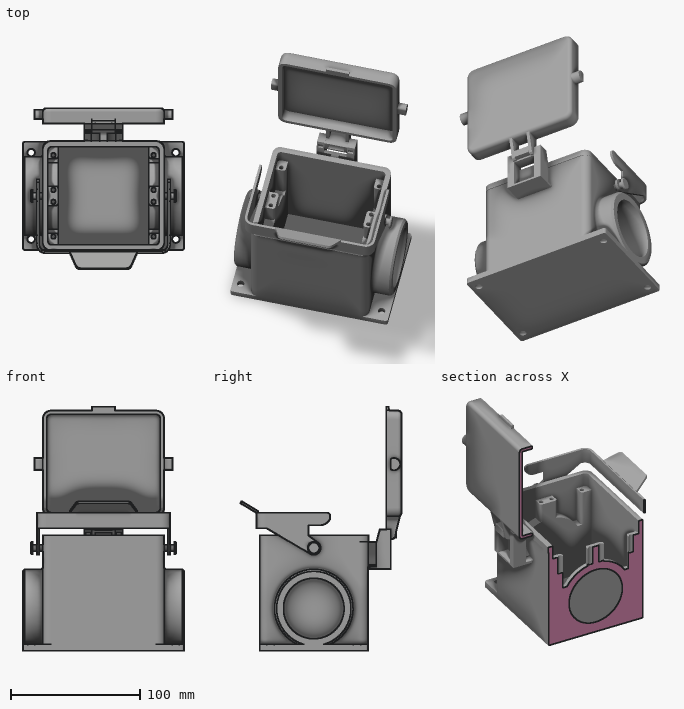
import cadquery as cq
import math

plate_length = 125.0
plate_width = 84.0
plate_thickness = 5.0
plate_corner_radius = 2.0
mount_hole_diameter = 5.6
mount_hole_x = 56.0
mount_hole_y = 33.5

body_length = 94.0
body_width = plate_width
body_corner_radius = 6.0
body_top = 89.5
lip_height = 5.0
lip_back_overhang = 0.5
cavity_length = 86.0
cavity_width = 76.0
cavity_corner_radius = 3.0

support_inner_x = 35.0
support_shelf_z = 49.0
post_top = 78.0
post_edge_radius = 2.0
center_post_width = 15.0
corner_post_inner_y = 28.9
screw_hole_x = 38.8
screw_hole_diameter = 3.6
screw_hole_depth = 15.0
corner_screw_y = 31.5
center_screw_y = 4.6

conduit_z = 32.7
conduit_radius = 30.4
conduit_flare = 1.4
conduit_chamfer = 1.6
conduit_bore_diameter = 47.0
conduit_bore_depth = 24.5

lever_half_width = 51.6
lever_sheet = 1.9
lever_front_y = -44.5
lever_top = 107.0
lever_bar_bottom = 94.7
lever_bend_radius = 7.0
lever_arm_corner_y = -36.5
jaw_y = -4.0
jaw_top = 97.0
jaw_bottom = 89.0
hook_tip_y = 12.7
hook_nose_z = 102.2
hook_top_y = 8.5
hook_lower_y = 4.5
pivot_z = 79.6
eye_radius = 5.3
pin_radius = 2.6
pin_end_x = 56.3
pin_head_radius = 4.8
pin_head_thickness = 1.6
pin_head_chamfer = 0.6

thumb_angle = 31.0
thumb_thickness = 1.9
thumb_root_half_width = 26.2
thumb_tip_half_width = 20.5
thumb_root_rise = 0.3
thumb_corner_radius = 4.0
part_front_y = -56.86

lid_length = body_length
lid_bottom = 104.0
lid_height = 82.0
lid_front_y = 56.0
lid_back_y = 68.0
lid_corner_radius = 6.5
lid_back_fillet = 3.0
lid_wall = 3.0
lid_floor = 3.0
lid_tab_half_width = 9.0
lid_tab_top = 189.0
lid_tab_thickness = 2.2
lid_tab_root_radius = 1.0
lid_pin_end_x = 53.5
lid_pin_y = 62.1
lid_pin_z = 144.5
lid_pin_radius = 4.75
lid_pin_flat_y = 59.4
lid_pin_edge_radius = 1.5

hinge_half_width = 15.0
hinge_back_y = 59.6
hinge_front_y = 48.4
hinge_top_front_y = 51.0
hinge_top = 94.0
hinge_slope_bottom = 84.2
hinge_bottom = 63.2
hinge_foot_front_y = 43.2
hinge_foot_thickness = 1.6
hinge_slot_half_width = 9.0
crossbar_top = 93.5
crossbar_bottom = 86.0
crossbar_window_half_width = 6.3
crossbar_window_bottom = 87.3
crossbar_window_top = 91.5
crossbar_window_depth = 4.0
cheek_pocket_inner_x = 9.9
cheek_pocket_outer_x = 13.9
cheek_pocket_bottom = 88.5
cheek_pocket_top = 91.7
lid_arm_thickness = 2.6
lid_arm_bottom = 86.5
lid_arm_root_back_y = 67.4
lid_arm_tip_back_y = 62.7
lid_arm_chamfer_height = 1.0
lid_arm_chamfer_length = 1.5
lid_web_back_y = 63.7
trunk_half_width = 3.0
trunk_flare_top = 74.6
trunk_flare_bottom = 66.6
trunk_flare_x = 9.4
trunk_foot_slope_x = 12.0
trunk_foot_top = 65.7
trunk_foot_edge_z = 65.2


def box(x0, x1, y0, y1, z0, z1):
    """Axis-aligned box between the given limits."""
    return cq.Workplane("XY").box(x1 - x0, y1 - y0, z1 - z0, centered=False).translate((x0, y0, z0))


def side_profile(x0):
    """Sketch plane whose local axes are world Y and Z; it extrudes toward +X from x0."""
    return cq.Workplane("YZ", origin=(x0, 0, 0))


def both_ends(half):
    """A +X shape together with its mirror image at -X."""
    return half.union(half.mirror("YZ"))


def make_plate():
    plate = box(-plate_length / 2, plate_length / 2, -plate_width / 2, plate_width / 2, 0, plate_thickness)
    return plate.edges("|Z").fillet(plate_corner_radius)


def drill_mount_holes(housing):
    holes = (
        cq.Workplane("XY")
        .rect(2 * mount_hole_x, 2 * mount_hole_y, forConstruction=True)
        .vertices()
        .circle(mount_hole_diameter / 2)
        .extrude(plate_thickness)
    )
    return housing.cut(holes)


def make_body():
    half_length = body_length / 2
    half_width = body_width / 2
    lip_bottom = body_top - lip_height
    shell = box(-half_length, half_length, -half_width, half_width, 0, lip_bottom)
    lip = box(-half_length, half_length, -half_width, half_width + lip_back_overhang, lip_bottom, body_top)
    shell = shell.edges("|Z").fillet(body_corner_radius)
    lip = lip.edges("|Z").fillet(body_corner_radius)
    return shell.union(lip)


def make_cavity():
    cavity = box(
        -cavity_length / 2, cavity_length / 2, -cavity_width / 2, cavity_width / 2, plate_thickness, body_top
    )
    return cavity.edges("|Z").fillet(cavity_corner_radius)


def make_supports():
    """Shelf, conduit bulge and three screw posts along the +X wall of the cavity."""
    wall_x = cavity_length / 2
    half_width = cavity_width / 2
    half_post = center_post_width / 2
    shelf = box(support_inner_x, wall_x, -half_width, half_width, plate_thickness, support_shelf_z)
    bulge = (
        side_profile(support_inner_x)
        .center(0, conduit_z)
        .circle(conduit_radius)
        .extrude(wall_x - support_inner_x)
    )
    center_post = box(support_inner_x, wall_x, -half_post, half_post, support_shelf_z, post_top)
    center_post = center_post.edges("|Z and <X").fillet(post_edge_radius)
    corner_post = box(support_inner_x, wall_x, corner_post_inner_y, half_width, support_shelf_z, post_top)
    corner_post = corner_post.edges("|Z and <X and <Y").fillet(post_edge_radius)
    supports = shelf.union(bulge).union(center_post).union(corner_post).union(corner_post.mirror("XZ"))
    screw_places = [
        (screw_hole_x, side * y) for y in (corner_screw_y, center_screw_y) for side in (-1, 1)
    ]
    screw_holes = (
        cq.Workplane("XY", origin=(0, 0, post_top))
        .pushPoints(screw_places)
        .circle(screw_hole_diameter / 2)
        .extrude(-screw_hole_depth)
    )
    return supports.cut(screw_holes).intersect(make_cavity())


def make_conduit():
    """Socket on the +X wall, flared where it meets the body."""
    wall_x = body_length / 2
    end_x = plate_length / 2
    root_x = (wall_x + cavity_length / 2) / 2
    flare_middle = conduit_flare * (1 - math.sqrt(0.5))
    return (
        cq.Workplane("XY")
        .moveTo(root_x, 0)
        .lineTo(root_x, conduit_radius + conduit_flare)
        .lineTo(wall_x, conduit_radius + conduit_flare)
        .threePointArc(
            (wall_x + flare_middle, conduit_radius + flare_middle),
            (wall_x + conduit_flare, conduit_radius),
        )
        .lineTo(end_x - conduit_chamfer, conduit_radius)
        .lineTo(end_x, conduit_radius - conduit_chamfer)
        .lineTo(end_x, 0)
        .close()
        .revolve(360, (0, 0, 0), (1, 0, 0))
        .translate((0, 0, conduit_z))
    )


def make_conduit_bore():
    """Blind bore of the +X socket."""
    return (
        side_profile(plate_length / 2)
        .center(0, conduit_z)
        .circle(conduit_bore_diameter / 2)
        .extrude(-conduit_bore_depth)
    )


def make_housing():
    housing = make_plate().union(make_body()).union(both_ends(make_conduit()))
    housing = housing.cut(make_cavity()).union(both_ends(make_supports()))
    housing = housing.cut(both_ends(make_conduit_bore()))
    return drill_mount_holes(housing)


def make_pivot_pin():
    inner_x = (body_length + cavity_length) / 4
    shaft = side_profile(inner_x).center(0, pivot_z).circle(pin_radius).extrude(pin_end_x - inner_x)
    head = (
        side_profile(pin_end_x - pin_head_thickness)
        .center(0, pivot_z)
        .circle(pin_head_radius)
        .extrude(pin_head_thickness)
        .faces(">X")
        .chamfer(pin_head_chamfer)
    )
    return shaft.union(head)


def make_lever():
    """Sheet strap bent around the front of the body, with a hooked arm on each side."""
    outer = box(-lever_half_width, lever_half_width, lever_front_y, hook_tip_y, 0, lever_top)
    outer = outer.edges("|Z and <Y").fillet(lever_bend_radius)
    inner_half_width = lever_half_width - lever_sheet
    inner = box(-inner_half_width, inner_half_width, lever_front_y + lever_sheet, hook_tip_y, 0, lever_top)
    inner = inner.edges("|Z and <Y").fillet(lever_bend_radius - lever_sheet)
    corner_drop = lever_bar_bottom - pivot_z
    corner_distance = math.hypot(lever_arm_corner_y, corner_drop)
    tangent_angle = math.atan2(corner_drop, lever_arm_corner_y) + math.acos(eye_radius / corner_distance)
    tangent_y = eye_radius * math.cos(tangent_angle)
    tangent_z = pivot_z + eye_radius * math.sin(tangent_angle)
    upper_y = -tangent_y
    upper_z = 2 * pivot_z - tangent_z
    eye_far_point = (pivot_z - tangent_z, pivot_z + tangent_y)
    arm = (
        side_profile(-lever_half_width)
        .moveTo(lever_front_y, lever_top)
        .lineTo(lever_front_y, lever_bar_bottom)
        .lineTo(lever_arm_corner_y, lever_bar_bottom)
        .lineTo(tangent_y, tangent_z)
        .threePointArc(eye_far_point, (upper_y, upper_z))
        .lineTo(jaw_y, jaw_bottom)
        .lineTo(jaw_y, jaw_top)
        .lineTo(hook_lower_y, jaw_top)
        .tangentArcPoint((hook_tip_y, hook_nose_z), relative=False)
        .tangentArcPoint((hook_top_y, lever_top), relative=False)
        .close()
        .extrude(2 * lever_half_width)
    )
    return outer.cut(inner).intersect(arm)


def make_thumb_tab():
    """Inclined plate rising forward from the top edge of the lever bar."""
    slope = math.radians(thumb_angle)
    root_y = lever_front_y + lever_sheet / 2
    root_z = lever_top + thumb_root_rise
    reach = (root_y - part_front_y - thumb_thickness / 2 * math.sin(slope)) / math.cos(slope)
    plane = cq.Plane(
        origin=(0, root_y, root_z), xDir=(-1, 0, 0), normal=(0, math.sin(slope), math.cos(slope))
    )
    tab = (
        cq.Workplane(plane)
        .polyline(
            [
                (-thumb_root_half_width, 0),
                (-thumb_tip_half_width, reach),
                (thumb_tip_half_width, reach),
                (thumb_root_half_width, 0),
            ]
        )
        .close()
        .extrude(thumb_thickness / 2, both=True)
    )
    tip_face = cq.selectors.DirectionMinMaxSelector(cq.Vector(0, -math.cos(slope), math.sin(slope)))
    return tab.faces(tip_face).edges("not |X").fillet(thumb_corner_radius)


def make_lid_pin():
    """Latching stud on the +X side of the lid, with a flat on its front."""
    start_x = lid_length / 2 - lid_wall / 2
    stud = (
        side_profile(start_x)
        .center(lid_pin_y, lid_pin_z)
        .circle(lid_pin_radius)
        .extrude(lid_pin_end_x - start_x)
    )
    stud = stud.intersect(box(0, lid_pin_end_x, lid_pin_flat_y, lid_back_y, 0, lid_tab_top))
    return stud.edges("|X and <Y").fillet(lid_pin_edge_radius)


def make_lid():
    half_length = lid_length / 2
    lid_top = lid_bottom + lid_height
    lid = box(-half_length, half_length, lid_front_y, lid_back_y, lid_bottom, lid_top)
    lid = lid.edges("|Y").fillet(lid_corner_radius).faces(">Y").edges().fillet(lid_back_fillet)
    recess = box(
        -half_length + lid_wall,
        half_length - lid_wall,
        lid_front_y,
        lid_back_y - lid_floor,
        lid_bottom + lid_wall,
        lid_top - lid_wall,
    )
    recess = recess.edges("|Y").fillet(lid_corner_radius - lid_wall)
    tab_back_y = lid_front_y + lid_tab_thickness
    tab = (
        side_profile(-lid_tab_half_width)
        .moveTo(lid_front_y, lid_top - lid_wall)
        .lineTo(lid_front_y, lid_tab_top)
        .lineTo(tab_back_y, lid_tab_top)
        .lineTo(tab_back_y, lid_top + lid_tab_root_radius)
        .tangentArcPoint((tab_back_y + lid_tab_root_radius, lid_top), relative=False)
        .lineTo(tab_back_y + lid_tab_root_radius, lid_top - lid_wall)
        .close()
        .extrude(2 * lid_tab_half_width)
    )
    return lid.cut(recess).union(tab).union(both_ends(make_lid_pin()))


def make_lid_arm():
    """Arm on the +X side that carries the lid down into the hinge."""
    arm_root_z = lid_bottom + lid_wall
    return (
        side_profile(hinge_slot_half_width - lid_arm_thickness)
        .polyline(
            [
                (lid_front_y, arm_root_z),
                (lid_arm_root_back_y, arm_root_z),
                (lid_arm_tip_back_y, lid_arm_bottom + lid_arm_chamfer_height),
                (lid_arm_tip_back_y - lid_arm_chamfer_length, lid_arm_bottom),
                (lid_front_y, lid_arm_bottom),
            ]
        )
        .close()
        .extrude(lid_arm_thickness)
    )


def make_lid_web():
    """Cross web between the two lid arms, level with the hinge crossbar."""
    half_gap = hinge_slot_half_width - lid_arm_thickness
    web_bottom = lid_arm_bottom + lid_arm_chamfer_height
    return box(-half_gap, half_gap, hinge_back_y, lid_web_back_y, web_bottom, crossbar_top)


def make_hinge_bracket():
    bracket = (
        side_profile(-hinge_half_width)
        .polyline(
            [
                (hinge_back_y, hinge_bottom),
                (hinge_back_y, hinge_top),
                (hinge_top_front_y, hinge_top),
                (hinge_front_y, hinge_slope_bottom),
                (hinge_front_y, hinge_bottom + hinge_foot_thickness),
                (hinge_foot_front_y, hinge_bottom + hinge_foot_thickness),
                (hinge_foot_front_y, hinge_bottom),
            ]
        )
        .close()
        .extrude(2 * hinge_half_width)
    )
    slot = hinge_slot_half_width
    above_web = box(-slot, slot, hinge_foot_front_y, hinge_back_y, hinge_slope_bottom, hinge_top)
    behind_web = box(
        -slot, slot, hinge_top_front_y, hinge_back_y, hinge_bottom + hinge_foot_thickness, hinge_top
    )
    crossbar = box(-slot, slot, hinge_top_front_y, hinge_back_y, crossbar_bottom, crossbar_top)
    window = box(
        -crossbar_window_half_width,
        crossbar_window_half_width,
        hinge_top_front_y,
        hinge_top_front_y + crossbar_window_depth,
        crossbar_window_bottom,
        crossbar_window_top,
    )
    cheek_pocket = box(
        cheek_pocket_inner_x,
        cheek_pocket_outer_x,
        hinge_front_y,
        hinge_top_front_y,
        cheek_pocket_bottom,
        cheek_pocket_top,
    )
    bracket = bracket.cut(above_web).cut(behind_web).union(crossbar.cut(window))
    return bracket.cut(both_ends(cheek_pocket))


def make_hinge_trunk():
    """Upright that joins the bracket to the back of the body and flares out into a foot."""
    foot_bottom = hinge_bottom + hinge_foot_thickness
    body_back_y = body_width / 2
    half_trunk = (
        cq.Workplane("XZ", origin=(0, hinge_front_y, 0))
        .moveTo(0, hinge_slope_bottom)
        .lineTo(trunk_half_width, hinge_slope_bottom)
        .lineTo(trunk_half_width, trunk_flare_top)
        .tangentArcPoint((trunk_flare_x, trunk_flare_bottom), relative=False)
        .lineTo(trunk_flare_x, trunk_foot_top)
        .lineTo(trunk_foot_slope_x, trunk_foot_top)
        .lineTo(hinge_half_width, trunk_foot_edge_z)
        .lineTo(hinge_half_width, foot_bottom)
        .lineTo(0, foot_bottom)
        .close()
        .extrude(hinge_front_y - body_back_y)
    )
    return both_ends(half_trunk)


hinge = make_hinge_bracket().union(make_hinge_trunk())
lid = make_lid().union(both_ends(make_lid_arm())).union(make_lid_web())
lever = make_lever().union(make_thumb_tab()).union(both_ends(make_pivot_pin()))
result = make_housing().union(hinge).union(lid).union(lever)